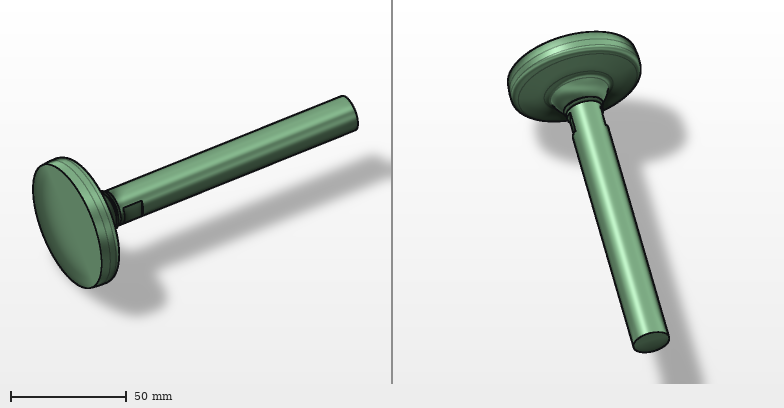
import cadquery as cq
import math


foot_base_radius = 28.5
foot_radius = 58.0 / 2
taper_height = 4.0
rim_height = 7.0
shoulder_radius = 26.4
shoulder_height = 10.0
hub_root_radius = 15.3
hub_root_height = 11.6
dome_radius = 13.6
dome_center_height = 9.0
dome_start_height = 13.3
dome_top_height = 20.2

rod_radius = 16.0 / 2
rod_start_height = 22.3
spindle_top_height = 142.0
neck_radius = 5.5
neck_start_height = 21.9
collar_radius = 8.8
collar_height = 20.6
flat_start_height = 24.1
flat_end_height = 33.5
across_flats = 13.3


def dome_radius_at(height):
    """Radius of the spherical dome at a given height."""
    return math.sqrt(dome_radius**2 - (height - dome_center_height) ** 2)


def revolve_about_y(profile):
    """Turn a closed radius-height profile a full circle about the Y axis."""
    return profile.close().revolve(360, (0, 0, 0), (0, 1, 0))


def make_foot():
    dome_middle_height = (dome_start_height + dome_top_height) / 2
    dome_middle = (dome_radius_at(dome_middle_height), dome_middle_height)
    dome_start = (dome_radius_at(dome_start_height), dome_start_height)
    dome_top = (dome_radius_at(dome_top_height), dome_top_height)

    profile = (
        cq.Workplane("XY")
        .lineTo(foot_base_radius, 0)
        .lineTo(foot_radius, taper_height)
        .lineTo(foot_radius, rim_height)
        .tangentArcPoint((shoulder_radius, shoulder_height), relative=False)
        .lineTo(hub_root_radius, hub_root_height)
        .tangentArcPoint(dome_start, relative=False)
        .threePointArc(dome_middle, dome_top)
        .lineTo(0, dome_top_height)
    )
    return revolve_about_y(profile)


def make_spindle():
    profile = (
        cq.Workplane("XY")
        .moveTo(0, dome_top_height)
        .lineTo(dome_radius_at(dome_top_height), dome_top_height)
        .lineTo(collar_radius, collar_height)
        .lineTo(neck_radius, neck_start_height)
        .lineTo(neck_radius, rod_start_height)
        .lineTo(rod_radius, rod_start_height)
        .lineTo(rod_radius, spindle_top_height)
        .lineTo(0, spindle_top_height)
    )
    return cut_wrench_flats(revolve_about_y(profile))


def cut_wrench_flats(spindle):
    flat_length = flat_end_height - flat_start_height
    flat_middle_height = (flat_start_height + flat_end_height) / 2
    cutter_width = 2 * rod_radius
    for side in (-1, 1):
        cutter_center = side * (across_flats + cutter_width) / 2
        cutter = cq.Workplane("XY").box(cutter_width, flat_length, cutter_width)
        spindle = spindle.cut(cutter.translate((cutter_center, flat_middle_height, 0)))
    return spindle


foot = make_foot()
spindle = make_spindle()

result = cq.Compound.makeCompound([foot.val(), spindle.val()])